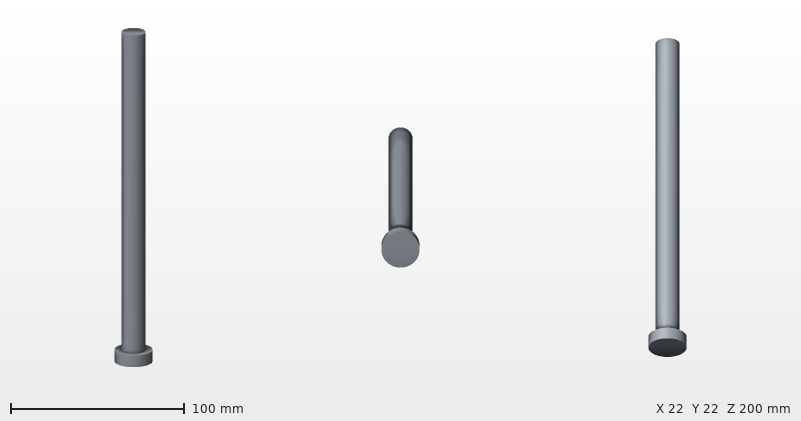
import cadquery as cq

total_length = 200.0
head_diameter = 22.0
head_height = 7.0
shank_diameter = 14.0

head = cq.Workplane("XY").circle(head_diameter / 2).extrude(head_height)
shank = cq.Workplane("XY").circle(shank_diameter / 2).extrude(total_length)

result = head.union(shank)